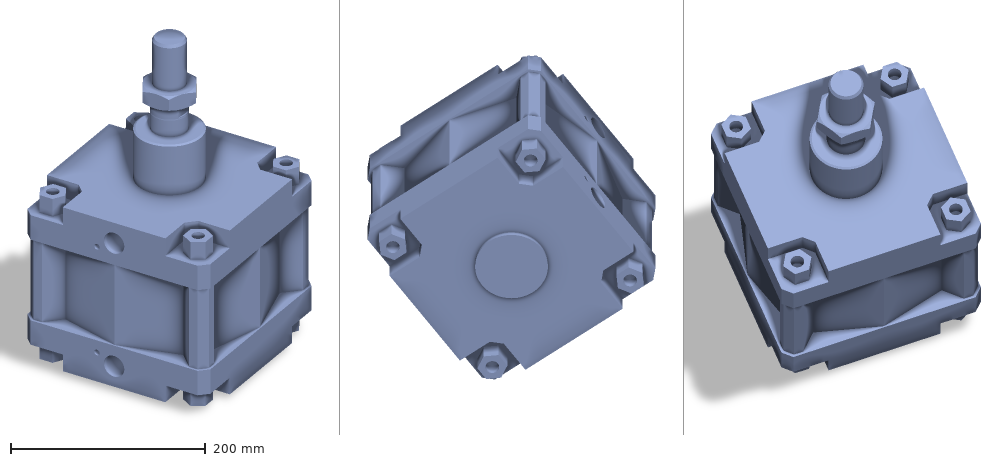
import cadquery as cq
import math


head_side = 220.0
head_corner_chamfer = 9.5
lower_head_height = 48.8
upper_head_height = 50.0
tube_height = 95.8
upper_head_z = lower_head_height + tube_height
housing_top = upper_head_z + upper_head_height

pocket_inner_edge = 61.5
pocket_chamfer = 10.3
lower_pocket_depth = 20.0
upper_pocket_depth = 21.0

tie_rod_offset = 87.5
tie_nut_across_flats = 26.8
tie_hole_diameter = 14.0
tie_hole_depth = 14.5
tie_hole_tip_angle = 118.0

ridge_offset = 108.5
post_face_offset = 107.0
post_chamfer = 8.5
post_inner_edge = 88.5
valley_edge = 71.0
valley_offset = 89.5

port_diameter = 24.5
port_depth = 29.5
screw_hole_diameter = 6.5
screw_hole_depth = 11.0
screw_hole_x = -20.5
port_to_end = 24.2
screw_hole_to_end = 34.5

boss_diameter = 75.0
lower_boss_height = 6.0
upper_boss_height = 59.0
boss_chamfer_width = 2.2
boss_chamfer_height = 1.3

total_length = 367.0
rod_top = total_length - lower_boss_height
rod_bottom = housing_top + upper_boss_height
rod_diameter = 40.0
wrench_section_diameter = 39.5
wrench_section_bottom = 274.0
shank_chamfer_height = 1.0
wrench_flat_bottom = 275.2
wrench_across_flats = 36.0
wrench_flat_turn = -5.5
thread_diameter = 36.0
rod_tip_diameter = 32.0
rod_tip_chamfer_height = 3.3

nut_bottom = 289.2
nut_height = 17.5
nut_across_flats = 55.0
nut_chamfer_angle = 30.0


def across_corners(across_flats):
    return across_flats / math.cos(math.radians(30))


def cylinder(diameter, bottom, height):
    return cq.Workplane("XY").workplane(offset=bottom).circle(diameter / 2).extrude(height)


def quarter_turns(part):
    return [part.rotate((0, 0, 0), (0, 0, 1), 90 * turn) for turn in range(4)]


def make_head(bottom, height):
    block = cq.Workplane("XY").workplane(offset=bottom).rect(head_side, head_side).extrude(height)
    return block.edges("|Z").chamfer(head_corner_chamfer)


def make_pocket(bottom, depth):
    """Cutter for the (+X, +Y) corner pocket, with its inner corner cut off."""
    size = head_side / 2 - pocket_inner_edge
    centre = pocket_inner_edge + size / 2
    block = cq.Workplane("XY").workplane(offset=bottom).center(centre, centre).rect(size, size).extrude(depth)
    return block.edges("|Z and <X and <Y").chamfer(pocket_chamfer)


def make_tie_nut(bottom, height):
    """Tie-rod nut in the (+X, +Y) corner; one corner of its hexagon points along X."""
    return (
        cq.Workplane("XY")
        .workplane(offset=bottom)
        .center(tie_rod_offset, tie_rod_offset)
        .polygon(6, across_corners(tie_nut_across_flats))
        .extrude(height)
    )


def make_tie_hole(face_z, direction):
    """Blind hole with a drill-point end, going from face_z along Z in the given direction (+1 or -1)."""
    radius = tie_hole_diameter / 2
    tip_length = radius / math.tan(math.radians(tie_hole_tip_angle / 2))
    shoulder_z = face_z + direction * tie_hole_depth
    tip_z = shoulder_z + direction * tip_length
    profile = cq.Workplane("XZ").polyline([(0, face_z), (radius, face_z), (radius, shoulder_z), (0, tip_z)])
    hole = profile.close().revolve(360, (0, 0), (0, 1))
    return hole.translate((tie_rod_offset, tie_rod_offset, 0))


def make_tube():
    """One quarter of the outline runs from the -Y ridge to the (+X, -Y) post; then it is turned."""
    post_flat_edge = post_face_offset - post_chamfer
    quarter = [
        (0, -ridge_offset),
        (valley_edge, -valley_offset),
        (post_inner_edge, -post_face_offset),
        (post_flat_edge, -post_face_offset),
        (post_face_offset, -post_flat_edge),
        (post_face_offset, -post_inner_edge),
        (valley_offset, -valley_edge),
    ]
    outline = []
    for _ in range(4):
        for x, y in quarter:
            outline.append((x, y))
        quarter = [(-y, x) for x, y in quarter]
    base = cq.Workplane("XY").workplane(offset=lower_head_height)
    return base.polyline(outline).close().extrude(tube_height)


def make_side_hole(x, z, diameter, depth):
    """Cutter for a hole going in from the -Y side of a head."""
    face = cq.Workplane("XZ", origin=(x, -head_side / 2, z))
    return face.circle(diameter / 2).extrude(-depth)


def chamfered_boss():
    boss = cylinder(boss_diameter, housing_top, upper_boss_height)
    return boss.faces(">Z").chamfer(boss_chamfer_height, boss_chamfer_width)


def make_housing():
    """Both heads, the tube, the end bosses and the tie-rod nuts."""
    housing = make_head(0, lower_head_height)
    housing = housing.union(make_tube())
    housing = housing.union(make_head(upper_head_z, upper_head_height))

    upper_ledge = housing_top - upper_pocket_depth
    for bottom, depth, outer_face, inward in (
        (0, lower_pocket_depth, 0, 1),
        (upper_ledge, upper_pocket_depth, housing_top, -1),
    ):
        for pocket in quarter_turns(make_pocket(bottom, depth)):
            housing = housing.cut(pocket)
        for tie_nut in quarter_turns(make_tie_nut(bottom, depth)):
            housing = housing.union(tie_nut)
        for tie_hole in quarter_turns(make_tie_hole(outer_face, inward)):
            housing = housing.cut(tie_hole)

    for port_z in (port_to_end, housing_top - port_to_end):
        housing = housing.cut(make_side_hole(0, port_z, port_diameter, port_depth))
    for screw_z in (screw_hole_to_end, housing_top - screw_hole_to_end):
        housing = housing.cut(make_side_hole(screw_hole_x, screw_z, screw_hole_diameter, screw_hole_depth))

    housing = housing.union(cylinder(boss_diameter, -lower_boss_height, lower_boss_height))
    return housing.union(chamfered_boss())


def make_rod():
    """Rod standing on the upper boss: chamfered shank, two wrench flats, thread with a chamfered tip."""
    shank = cylinder(rod_diameter, rod_bottom, wrench_section_bottom - rod_bottom)
    shank_chamfer_width = (rod_diameter - wrench_section_diameter) / 2
    shank = shank.faces(">Z").chamfer(shank_chamfer_height, shank_chamfer_width)
    wrench_section = cylinder(
        wrench_section_diameter, wrench_section_bottom, nut_bottom - wrench_section_bottom
    )
    flats_height = nut_bottom - wrench_flat_bottom
    between_flats = (
        cq.Workplane("XY")
        .workplane(offset=wrench_flat_bottom)
        .rect(wrench_across_flats, rod_diameter)
        .extrude(flats_height)
        .rotate((0, 0, 0), (0, 0, 1), wrench_flat_turn)
    )
    flat_cutter = cylinder(rod_diameter, wrench_flat_bottom, flats_height).cut(between_flats)
    wrench_section = wrench_section.cut(flat_cutter)

    thread = cylinder(thread_diameter, nut_bottom, rod_top - nut_bottom)
    tip_chamfer_width = (thread_diameter - rod_tip_diameter) / 2
    thread = thread.faces(">Z").chamfer(rod_tip_chamfer_height, tip_chamfer_width)
    return shank.union(wrench_section).union(thread)


def make_rod_nut():
    """Hexagon nut with its corners cut to a cone on both faces, and a plain bore for the thread."""
    corner_radius = across_corners(nut_across_flats) / 2
    face_radius = nut_across_flats / 2
    chamfer_height = (corner_radius - face_radius) * math.tan(math.radians(nut_chamfer_angle))
    nut_top = nut_bottom + nut_height
    hexagon = (
        cq.Workplane("XY").workplane(offset=nut_bottom).polygon(6, 2 * corner_radius).extrude(nut_height)
    )
    envelope = (
        cq.Workplane("XZ")
        .moveTo(0, nut_bottom)
        .lineTo(face_radius, nut_bottom)
        .lineTo(corner_radius, nut_bottom + chamfer_height)
        .lineTo(corner_radius, nut_top - chamfer_height)
        .lineTo(face_radius, nut_top)
        .lineTo(0, nut_top)
        .close()
        .revolve(360, (0, 0), (0, 1))
    )
    return hexagon.intersect(envelope).cut(cylinder(thread_diameter, nut_bottom, nut_height))


housing = make_housing()
rod = make_rod()
rod_nut = make_rod_nut()

result = cq.Compound.makeCompound([housing.val(), rod.val(), rod_nut.val()])